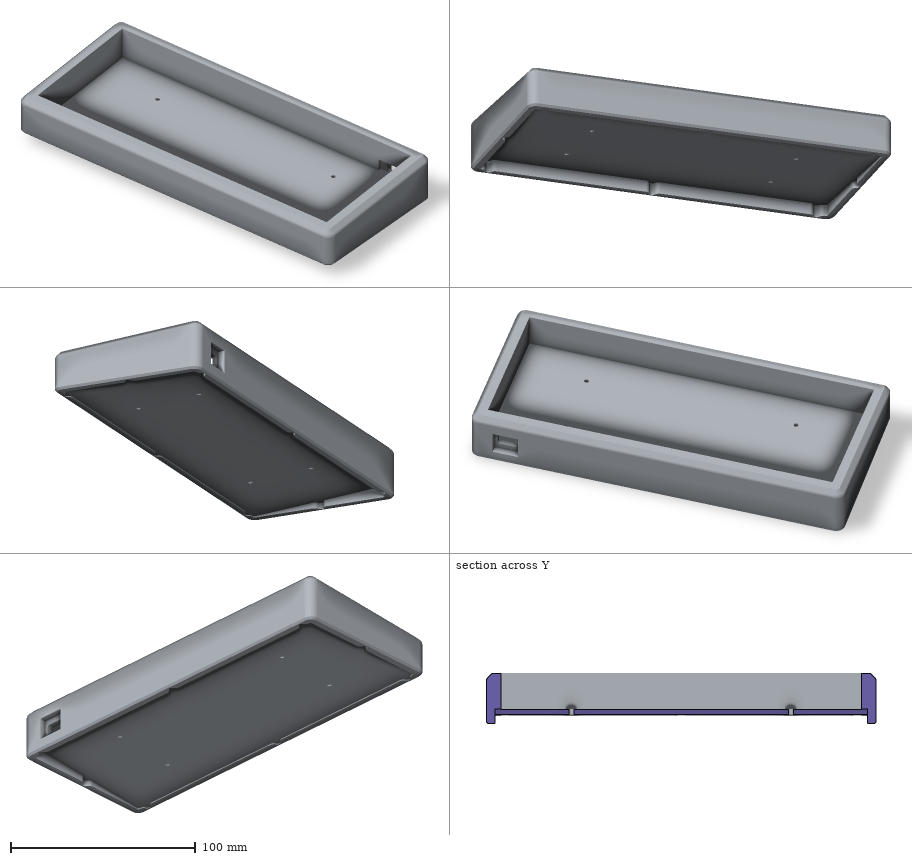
import cadquery as cq
import math

LENGTH = 212.0
WIDTH = 92.9
HEIGHT = 29.3
BOTTOM_SLOPE = math.radians(4.0)
CORNER_RADIUS = 5.0
RIM_CHAMFER = 3.0
RIM_BLEND_RADIUS = 2.1
BOTTOM_CHAMFER = 1.17
SELECTION_MARGIN = 0.02

POCKET_WALL = 8.0
FLOOR_DEPTH = 19.5
FLOOR_Z = HEIGHT - FLOOR_DEPTH

OPENING_WALL = 4.9
OPENING_CORNER_RADIUS = 1.3
BAY_RADIUS = 1.8
BAY_LIP_RADIUS = 2.8
BAY_HALF_WIDTH = 4.2
OPENING_LENGTH = LENGTH - 2 * OPENING_WALL
OPENING_WIDTH = WIDTH - 2 * OPENING_WALL
END_BAY_X = OPENING_LENGTH / 2 - OPENING_CORNER_RADIUS - BAY_HALF_WIDTH

PLATE_THICKNESS = 3.0
PLATE_HOLE_DIAMETER = 2.5
PLATE_HOLE_SPACING_X = 119.1
PLATE_HOLE_SPACING_Y = 38.2

PORT_X = 85.6
NOTCH_WIDTH = 19.5
NOTCH_HEIGHT = 7.2
NOTCH_DEPTH = 1.7
WINDOW_WIDTH = 11.0
WINDOW_HEIGHT = 6.4
WINDOW_CORNER_RADIUS = 1.3
WINDOW_SILL = 0.2
WEB_THICKNESS = 2.5
RECESS_WIDTH = 14.5
RECESS_HEIGHT = 13.1


def wedge_blank():
    """Solid wedge with rounded upright corners, a softened rim and a chamfered bottom."""
    half_width = WIDTH / 2
    rear_z = -BOTTOM_CHAMFER * math.sin(BOTTOM_SLOPE)
    front_z = rear_z + WIDTH * math.tan(BOTTOM_SLOPE)
    side = [(-half_width, front_z), (half_width, rear_z), (half_width, HEIGHT), (-half_width, HEIGHT)]
    blank = cq.Workplane("YZ").polyline(side).close().extrude(LENGTH / 2, both=True)
    blank = blank.edges("|Z").fillet(CORNER_RADIUS)
    blank = blank.faces("<Z").chamfer(BOTTOM_CHAMFER)
    blank = blank.faces(">Z").chamfer(RIM_CHAMFER)
    shoulder_z = HEIGHT - RIM_CHAMFER
    shoulder = cq.selectors.BoxSelector(
        (-LENGTH, -WIDTH, shoulder_z - SELECTION_MARGIN),
        (LENGTH, WIDTH, shoulder_z + SELECTION_MARGIN),
        boundingbox=True,
    )
    return blank.edges(shoulder).fillet(RIM_BLEND_RADIUS)


def bay_prism(height):
    """Round bay that widens through two lips to a wall along X; the bay points to +Y."""
    reach = BAY_RADIUS + BAY_LIP_RADIUS
    turn = math.asin(BAY_HALF_WIDTH / reach)
    depth = reach * (1 - math.cos(turn))
    join_x = BAY_RADIUS * math.sin(turn)
    join_y = BAY_LIP_RADIUS * (1 - math.cos(turn))
    lip_mid_x = BAY_HALF_WIDTH - BAY_LIP_RADIUS * math.sin(turn / 2)
    lip_mid_y = BAY_LIP_RADIUS * (1 - math.cos(turn / 2))
    root_y = -OPENING_WALL
    return (
        cq.Workplane("XY")
        .moveTo(-BAY_HALF_WIDTH, root_y)
        .lineTo(-BAY_HALF_WIDTH, 0)
        .threePointArc((-lip_mid_x, lip_mid_y), (-join_x, join_y))
        .threePointArc((0, depth), (join_x, join_y))
        .threePointArc((lip_mid_x, lip_mid_y), (BAY_HALF_WIDTH, 0))
        .lineTo(BAY_HALF_WIDTH, root_y)
        .close()
        .extrude(height)
    )


def opening_prism(bottom_z, top_z):
    """Upright prism with the plan of the base opening, bays included."""
    height = top_z - bottom_z
    prism = cq.Workplane("XY").box(OPENING_LENGTH, OPENING_WIDTH, height, centered=(True, True, False))
    prism = prism.edges("|Z").fillet(OPENING_CORNER_RADIUS)
    half_length = OPENING_LENGTH / 2
    half_width = OPENING_WIDTH / 2
    bay_places = [(half_length, 0, -90), (-half_length, 0, 90)]
    for x in (-END_BAY_X, 0, END_BAY_X):
        bay_places.append((x, half_width, 0))
        bay_places.append((x, -half_width, 180))
    for x, y, angle in bay_places:
        bay = bay_prism(height).rotate((0, 0, 0), (0, 0, 1), angle)
        prism = prism.union(bay.translate((x, y, 0)))
    return prism.translate((0, 0, bottom_z))


def rear_cutter(width, height, start_y, depth, bottom_z):
    """Block centred on the port that starts at start_y and runs toward +Y."""
    block = cq.Workplane("XY").box(width, depth, height, centered=(True, False, False))
    return block.translate((PORT_X, start_y, bottom_z))


def cut_port(body):
    """Cut the connector notch, window and outer recess through the rear wall."""
    notch_start = WIDTH / 2 - POCKET_WALL
    web_start = notch_start + NOTCH_DEPTH
    web_end = web_start + WEB_THICKNESS
    window_z = FLOOR_Z + WINDOW_SILL
    recess_z = window_z + WINDOW_HEIGHT / 2 - RECESS_HEIGHT / 2
    notch = rear_cutter(NOTCH_WIDTH, NOTCH_HEIGHT, notch_start, NOTCH_DEPTH, FLOOR_Z)
    window = rear_cutter(WINDOW_WIDTH, WINDOW_HEIGHT, web_start, WEB_THICKNESS, window_z)
    window = window.edges("|Y").fillet(WINDOW_CORNER_RADIUS)
    recess = rear_cutter(RECESS_WIDTH, RECESS_HEIGHT, web_end, WIDTH / 2 - web_end, recess_z)
    return body.cut(notch).cut(window).cut(recess)


def make_case():
    """Wedge case with the pocket, the base opening and the connector port."""
    pocket = (
        cq.Workplane("XY")
        .box(LENGTH - 2 * POCKET_WALL, WIDTH - 2 * POCKET_WALL, FLOOR_DEPTH, centered=(True, True, False))
        .translate((0, 0, FLOOR_Z))
    )
    opening = opening_prism(-BOTTOM_CHAMFER, FLOOR_Z)
    return cut_port(wedge_blank().cut(pocket).cut(opening))


def make_base_plate():
    """Level plate that fills the top of the base opening and forms the pocket floor."""
    plate = opening_prism(FLOOR_Z - PLATE_THICKNESS, FLOOR_Z)
    holes = (
        cq.Workplane("XY", origin=(0, 0, FLOOR_Z - PLATE_THICKNESS))
        .rect(PLATE_HOLE_SPACING_X, PLATE_HOLE_SPACING_Y, forConstruction=True)
        .vertices()
        .circle(PLATE_HOLE_DIAMETER / 2)
        .extrude(PLATE_THICKNESS)
    )
    return plate.cut(holes)


case = make_case()
base_plate = make_base_plate()
result = cq.Compound.makeCompound([case.val(), base_plate.val()])